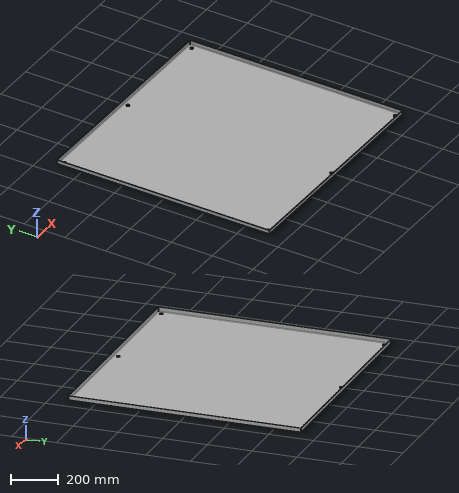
import cadquery as cq

length_x = 1076.33
width_y = 1042.99
height = 21.03

sheet_thickness = 2.657
inner_bend_radius = 0.05
outer_bend_radius = inner_bend_radius + sheet_thickness

floor_x = length_x - 2 * outer_bend_radius
floor_y = width_y - 2 * outer_bend_radius

hole_diameter = 14.3
hole_columns = 3
hole_rows = 2
hole_pitch_x = 513.5
hole_pitch_y = 997.5


def folded_strip(workplane, span, strip_length):
    """Floor strip with an upturned flange at both ends, extruded across the sheet."""
    flat_end = span / 2 - outer_bend_radius
    inner_face = span / 2 - sheet_thickness
    return (
        workplane
        .moveTo(-flat_end, 0)
        .lineTo(flat_end, 0)
        .radiusArc((span / 2, outer_bend_radius), -outer_bend_radius)
        .lineTo(span / 2, height)
        .lineTo(inner_face, height)
        .lineTo(inner_face, outer_bend_radius)
        .radiusArc((flat_end, sheet_thickness), inner_bend_radius)
        .lineTo(-flat_end, sheet_thickness)
        .radiusArc((-inner_face, outer_bend_radius), inner_bend_radius)
        .lineTo(-inner_face, height)
        .lineTo(-span / 2, height)
        .lineTo(-span / 2, outer_bend_radius)
        .radiusArc((-flat_end, 0), -outer_bend_radius)
        .close()
        .extrude(strip_length / 2, both=True)
    )


def mounting_holes():
    """Cutters for the grid of floor holes."""
    return (
        cq.Workplane("XY")
        .rarray(hole_pitch_x, hole_pitch_y, hole_columns, hole_rows)
        .circle(hole_diameter / 2)
        .extrude(sheet_thickness)
    )


side_flanges = folded_strip(cq.Workplane("XZ"), length_x, floor_y)
end_flanges = folded_strip(cq.Workplane("YZ"), width_y, floor_x)

result = side_flanges.union(end_flanges).cut(mounting_holes())